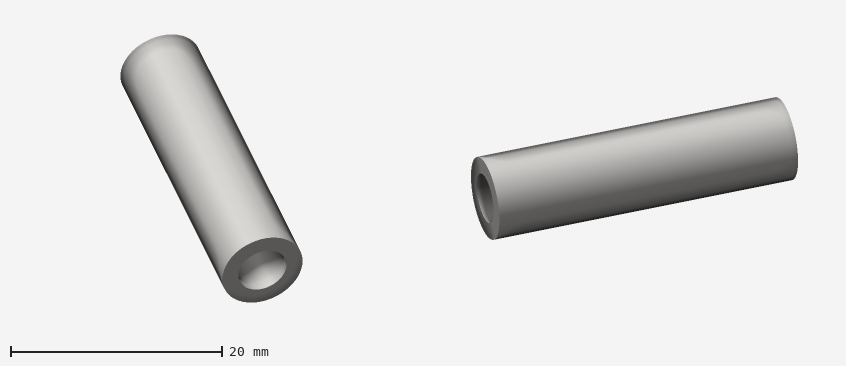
import cadquery as cq

length = 30.0
outer_diameter = 8.0
bore_diameter = 4.8

result = (
    cq.Workplane("YZ", origin=(-length / 2, 0, 0))
    .circle(outer_diameter / 2)
    .circle(bore_diameter / 2)
    .extrude(length)
)